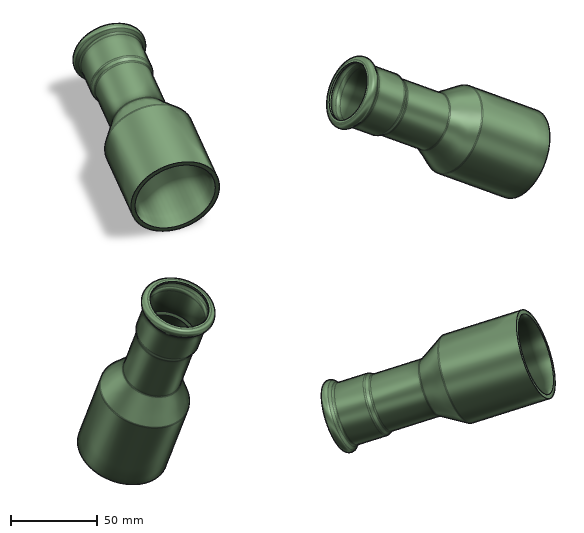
import cadquery as cq
import math


length = 128.0
spigot_radius = 54.0 / 2
socket_radius = 38.0 / 2
neck_radius = 35.0 / 2

socket_wall = 1.35
pipe_wall = 2.5
socket_bore_radius = socket_radius - socket_wall
neck_bore_radius = neck_radius - pipe_wall
spigot_bore_radius = spigot_radius - pipe_wall

lip_radius = 3.0
lip_center_radius = 19.14
groove_radius = lip_radius - socket_wall
flare_angle = math.radians(45)
flare_round = 2.2

step_start = 27.0
step_end = 30.0
step_round = 2.3
socket_depth = 26.4

cone_start = 61.5
cone_angle = math.radians(30)
cone_round = 1.5
cone_end = cone_start + (spigot_radius - neck_radius) / math.tan(cone_angle)
bore_cone_shift = pipe_wall * math.tan(cone_angle / 2)


def lip_point(radius, angle):
    """Point on a circle about the lip center, angle measured from +X."""
    return (
        lip_radius + radius * math.cos(angle),
        lip_center_radius + radius * math.sin(angle),
    )


def flare_foot(start, end_radius):
    """Point where the flare through start comes down to end_radius."""
    return (start[0] + (start[1] - end_radius) / math.tan(flare_angle), end_radius)


def rounded_corner(outline, previous, corner, following, radius):
    """Draw a line toward corner and a tangent arc around it."""
    corner = cq.Vector(*corner)
    toward_previous = (cq.Vector(*previous) - corner).normalized()
    toward_following = (cq.Vector(*following) - corner).normalized()
    half_angle = toward_previous.getAngle(toward_following) / 2
    tangent_length = radius / math.tan(half_angle)
    arc_gap = radius / math.sin(half_angle) - radius
    bisector = (toward_previous + toward_following).normalized()
    arc_start = corner + toward_previous * tangent_length
    arc_middle = corner + bisector * arc_gap
    arc_end = corner + toward_following * tangent_length
    outline = outline.lineTo(arc_start.x, arc_start.y)
    return outline.threePointArc((arc_middle.x, arc_middle.y), (arc_end.x, arc_end.y))


def draw_outside(outline):
    """Outer surface from the mouth face to the spigot end."""
    lip_end = lip_point(lip_radius, math.pi / 2 - flare_angle)
    corners = [
        (flare_foot(lip_end, socket_radius), flare_round),
        ((step_start, socket_radius), step_round),
        ((step_end, neck_radius), step_round),
        ((cone_start, neck_radius), cone_round),
        ((cone_end, spigot_radius), cone_round),
    ]
    spigot_end = (length, spigot_radius)
    path = [lip_end] + [point for point, _ in corners] + [spigot_end]

    outline = outline.lineTo(0, lip_center_radius)
    outline = outline.threePointArc(lip_point(lip_radius, math.pi / 2), lip_end)
    for index, (point, radius) in enumerate(corners):
        outline = rounded_corner(outline, path[index], point, path[index + 2], radius)
    return outline.lineTo(*spigot_end)


def draw_inside(outline):
    """Bore from the spigot end back to the seal groove behind the lip."""
    flare_top = lip_point(groove_radius, math.pi / 2 - flare_angle)
    flare_base = flare_foot(flare_top, socket_bore_radius)
    socket_stop = (socket_depth, socket_bore_radius)

    outline = (
        outline.lineTo(length, spigot_bore_radius)
        .lineTo(cone_end + bore_cone_shift, spigot_bore_radius)
        .lineTo(cone_start + bore_cone_shift, neck_bore_radius)
        .lineTo(socket_depth, neck_bore_radius)
        .lineTo(*socket_stop)
    )
    outline = rounded_corner(outline, socket_stop, flare_base, flare_top, flare_round + socket_wall)
    return (
        outline.lineTo(*flare_top)
        .threePointArc(lip_point(groove_radius, math.pi / 2), lip_point(groove_radius, math.pi))
        .lineTo(socket_wall, socket_bore_radius)
        .close()
    )


profile = cq.Workplane("XY").moveTo(0, socket_bore_radius)
profile = draw_outside(profile)
profile = draw_inside(profile)
result = profile.revolve(360, (0, 0, 0), (1, 0, 0))